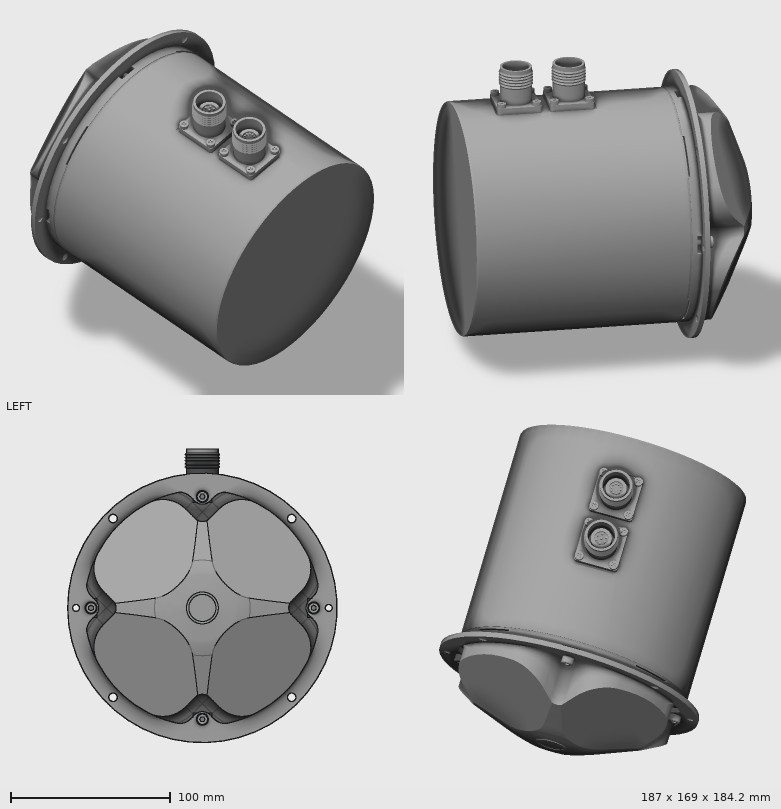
import cadquery as cq
import math

OVERALL_LENGTH = 187.0
OVERALL_HEIGHT = 184.2
FLANGE_DIAMETER = 169.0
BODY_RADIUS = 74.0
DIAGONALS = (45, 135, 225, 315)
QUARTERS = (0, 90, 180, 270)
SIDES = (0, 180)

FLANGE_FRONT = 40.0
FLANGE_REAR = 43.2
FLANGE_HOLE_CIRCLE = 79.2
LARGE_HOLE_DIAMETER = 5.2
SMALL_HOLE_DIAMETER = 4.2
TONGUE_APEX = 62.2
TONGUE_TIP_RADIUS = 6.8
TONGUE_CORNER_RADIUS = 9.3

FACET_TILT = 30.0
FACET_APEX = -10.6
SPINE_ANGLE = 20.0
SPINE_INNER_RADIUS = 30.0
SPINE_INNER_X = 3.9
NOSE_RADIUS = 10.0
NOSE_RECESS_RADIUS = 8.5
NOSE_RECESS_DEPTH = 0.3
SHOULDER_X = FLANGE_REAR
HEAD_CORNER_RADIUS = 20.2
NOTCH_RADIUS = 6.0
NOTCH_APEX = 51.6
HEAD_FILLET = NOTCH_RADIUS - 0.02
RUNOUT = 20.0

CLAMP_SCREW_CIRCLE = 69.8
CLAMP_HEAD_DIAMETER = 7.5
CLAMP_HEAD_CHAMFER = 0.5
CLAMP_HEAD_FRONT = 35.6
CLAMP_SOCKET_CORNERS = 3.46
CLAMP_SOCKET_DEPTH = 2.0
CLAMP_SHANK_DIAMETER = 4.0
CLAMP_POCKET_WIDTH = 12.0
CLAMP_POCKET_LENGTH = 3.0
CLAMP_POCKET_FLOOR = 66.0

SEAM_X = 49.5
SEAM_WIDTH = 1.3
SEAM_DEPTH = 0.4
SEAM_POCKET_FRONT = 48.4
SEAM_POCKET_WIDTH = 28.0
SEAM_POCKET_FLOOR = 70.0
REAR_CHAMFER_LENGTH = 1.1
REAR_CHAMFER_DEPTH = 0.3

FRONT_CONNECTOR_X = 114.4
REAR_CONNECTOR_X = 148.1
SEAT_START = 98.8
SEAT_END = 163.2
PLATE_SIZE = 28.0
PLATE_CORNER = 1.7
PLATE_TOP = 77.0
CONNECTOR_TOP = OVERALL_HEIGHT - FLANGE_DIAMETER / 2
BARREL_DIAMETER = 20.2
THREAD_DIAMETER = 21.5
THREAD_BOTTOM = 87.5
THREAD_TOP = 97.1
THREAD_TURNS = 5
BORE_RADIUS = 8.6
BORE_FLOOR = 80.0
INSERT_TOP = 92.2
INSERT_RADIUS = 6.6
INSERT_CUP_RADIUS = 4.5
INSERT_CUP_DEPTH = 1.5
CONTACT_CIRCLE = 3.1
LARGE_CONTACT_DIAMETER = 1.3
SMALL_CONTACT_DIAMETER = 1.1
SIX_CONTACTS = range(0, 360, 60)
TEN_CONTACTS = range(18, 378, 36)
PLATE_SCREW_PITCH = 22.5
PLATE_SCREW_HEAD = 5.45
PLATE_SCREW_TOP = 79.6
CROSS_LENGTH = 3.24
CROSS_ANGLES = (45, 135)
CROSS_WIDTH = 0.8
CROSS_DEPTH = 1.0

SEAT_Z = math.sqrt(BODY_RADIUS**2 - (PLATE_SIZE / 2) ** 2)


def disc(radius, start, end):
    """Cylinder on the X axis."""
    return cq.Workplane("YZ", origin=(start, 0, 0)).circle(radius).extrude(end - start)


def rod(radius, start, end, circle_radius, angle):
    """Cylinder parallel to X, placed on a circle around the axis."""
    y = circle_radius * math.cos(math.radians(angle))
    z = circle_radius * math.sin(math.radians(angle))
    return disc(radius, start, end).translate((0, y, z))


def post(radius, bottom, top, x, y=0.0):
    """Vertical cylinder."""
    return cq.Workplane("XY", origin=(x, y, bottom)).circle(radius).extrude(top - bottom)


def block(x0, x1, width, z0, z1):
    """Box centred on Y = 0."""
    return cq.Workplane("XY").box(x1 - x0, width, z1 - z0, centered=False).translate((x0, -width / 2, z0))


def around_axis(solid, angle):
    """Turn a solid about the X axis."""
    return solid.rotate((0, 0, 0), (1, 0, 0), angle)


def notch_prism(apex, root_radius, corner_radius, start, end):
    """Prism open toward +Z: rounded V, 45 degree walls and corner arcs that blend into the body circle."""
    centre_distance = BODY_RADIUS - corner_radius
    offset = apex - corner_radius * math.sqrt(2)
    centre_y = (math.sqrt(2 * centre_distance**2 - offset**2) - offset) / 2
    centre_z = centre_y + offset
    end_angle = math.atan2(centre_z, centre_y)
    wall_angle = math.radians(135)

    def on_corner(angle):
        y = centre_y + corner_radius * math.cos(angle)
        z = centre_z + corner_radius * math.sin(angle)
        return (y, z)

    def mirrored(point):
        return (-point[0], point[1])

    root_centre = apex + root_radius * math.sqrt(2)
    root_reach = root_radius * math.sqrt(0.5)
    root = (0, root_centre - root_radius)
    wall_start = (root_reach, root_centre - root_reach)
    wall_end = on_corner(wall_angle)
    corner_mid = on_corner((wall_angle + end_angle) / 2)
    corner_end = on_corner(end_angle)
    tangent_end = (
        corner_end[0] + RUNOUT * math.sin(end_angle),
        corner_end[1] - RUNOUT * math.cos(end_angle),
    )
    outside = (tangent_end[0], BODY_RADIUS + RUNOUT)

    return (
        cq.Workplane("YZ", origin=(start, 0, 0))
        .moveTo(*mirrored(wall_start))
        .threePointArc(root, wall_start)
        .lineTo(*wall_end)
        .threePointArc(corner_mid, corner_end)
        .lineTo(*tangent_end)
        .lineTo(*outside)
        .lineTo(*mirrored(outside))
        .lineTo(*mirrored(tangent_end))
        .lineTo(*mirrored(corner_end))
        .threePointArc(mirrored(corner_mid), mirrored(wall_end))
        .close()
        .extrude(end - start)
    )


def notch_void():
    """Space removed at the +Z notch of the head, with a filleted floor."""
    void = notch_prism(NOTCH_APEX, NOTCH_RADIUS, HEAD_CORNER_RADIUS, -RUNOUT, SHOULDER_X)
    wall_floor = cq.selectors.BoxSelector(
        (SHOULDER_X - 1, -BODY_RADIUS, 0),
        (SHOULDER_X + 1, BODY_RADIUS, BODY_RADIUS),
    )
    foot_edges = void.faces(">X").edges(wall_floor)
    return foot_edges.fillet(HEAD_FILLET)


def nose_envelope():
    """Solid of revolution: nose button with a shallow recess, blend arc and spine cone."""
    slope = math.radians(SPINE_ANGLE)
    blend_radius = (SPINE_INNER_RADIUS - NOSE_RADIUS) / math.sin(slope)
    blend_start_x = SPINE_INNER_X - blend_radius * (1 - math.cos(slope))
    blend_mid = (
        blend_start_x + blend_radius * (1 - math.cos(slope / 2)),
        NOSE_RADIUS + blend_radius * math.sin(slope / 2),
    )
    outer_radius = BODY_RADIUS + 1
    outer_x = SPINE_INNER_X + (outer_radius - SPINE_INNER_RADIUS) * math.tan(slope)
    envelope = (
        cq.Workplane("XY")
        .moveTo(0, 0)
        .lineTo(0, NOSE_RADIUS)
        .lineTo(blend_start_x, NOSE_RADIUS)
        .threePointArc(blend_mid, (SPINE_INNER_X, SPINE_INNER_RADIUS))
        .lineTo(outer_x, outer_radius)
        .lineTo(SEAM_X, outer_radius)
        .lineTo(SEAM_X, 0)
        .close()
        .revolve(360, (0, 0, 0), (1, 0, 0))
    )
    return envelope.cut(disc(NOSE_RECESS_RADIUS, 0, NOSE_RECESS_DEPTH))


def facet_cutter():
    """Wedge that removes everything in front of the facet facing +Z."""
    reach = 2 * BODY_RADIUS
    rise = reach * math.tan(math.radians(FACET_TILT))
    return (
        cq.Workplane("XZ")
        .moveTo(FACET_APEX, 0)
        .lineTo(FACET_APEX + rise, reach)
        .lineTo(FACET_APEX - reach, reach)
        .lineTo(FACET_APEX - reach, 0)
        .close()
        .extrude(reach, both=True)
    )


def head():
    solid = disc(BODY_RADIUS, 0, SEAM_X).intersect(nose_envelope())
    void = notch_void()
    wedge = facet_cutter()
    for angle in DIAGONALS:
        solid = solid.cut(around_axis(wedge, angle))
    for angle in QUARTERS:
        solid = solid.cut(around_axis(void, angle))
    return solid


def flange():
    ring = disc(FLANGE_DIAMETER / 2, FLANGE_FRONT, FLANGE_REAR)
    ring = ring.cut(disc(BODY_RADIUS, FLANGE_FRONT, FLANGE_REAR))
    for angle in DIAGONALS:
        ring = ring.cut(rod(LARGE_HOLE_DIAMETER / 2, FLANGE_FRONT, FLANGE_REAR, FLANGE_HOLE_CIRCLE, angle))
    for angle in SIDES:
        ring = ring.cut(rod(SMALL_HOLE_DIAMETER / 2, FLANGE_FRONT, FLANGE_REAR, FLANGE_HOLE_CIRCLE, angle))
    tongue = notch_prism(TONGUE_APEX, TONGUE_TIP_RADIUS, TONGUE_CORNER_RADIUS, FLANGE_FRONT, FLANGE_REAR)
    tongue = tongue.intersect(disc(BODY_RADIUS, FLANGE_FRONT, FLANGE_REAR))
    for angle in QUARTERS:
        ring = ring.union(around_axis(tongue, angle))
    return ring


def tube():
    """Rear housing with the seam groove, a softened rear edge and the connector seat."""
    solid = disc(BODY_RADIUS, SEAM_X, OVERALL_LENGTH)
    solid = solid.faces(">X").edges().chamfer(REAR_CHAMFER_LENGTH, REAR_CHAMFER_DEPTH)
    groove = disc(BODY_RADIUS, SEAM_X, SEAM_X + SEAM_WIDTH)
    groove = groove.cut(disc(BODY_RADIUS - SEAM_DEPTH, SEAM_X, SEAM_X + SEAM_WIDTH))
    seat = block(SEAT_START, SEAT_END, PLATE_SIZE, SEAT_Z, BODY_RADIUS)
    return solid.cut(groove).cut(seat)


def seam_pockets(solid):
    pocket = block(SEAM_POCKET_FRONT, SEAM_X, SEAM_POCKET_WIDTH, SEAM_POCKET_FLOOR, BODY_RADIUS)
    for angle in DIAGONALS:
        solid = solid.cut(around_axis(pocket, angle))
    return solid


def clamp_screws(solid):
    """Socket head screws on the flange tongues; their shanks show in pockets behind the flange."""
    pocket_end = FLANGE_REAR + CLAMP_POCKET_LENGTH
    pocket = block(FLANGE_REAR, pocket_end, CLAMP_POCKET_WIDTH, CLAMP_POCKET_FLOOR, BODY_RADIUS)
    socket = (
        cq.Workplane("YZ", origin=(CLAMP_HEAD_FRONT, 0, CLAMP_SCREW_CIRCLE))
        .polygon(6, CLAMP_SOCKET_CORNERS)
        .extrude(CLAMP_SOCKET_DEPTH)
    )
    screw = rod(CLAMP_HEAD_DIAMETER / 2, CLAMP_HEAD_FRONT, FLANGE_FRONT, CLAMP_SCREW_CIRCLE, 90)
    screw = screw.faces("<X").edges().chamfer(CLAMP_HEAD_CHAMFER).cut(socket)
    shank = rod(CLAMP_SHANK_DIAMETER / 2, SHOULDER_X, pocket_end, CLAMP_SCREW_CIRCLE, 90)
    for angle in QUARTERS:
        solid = solid.cut(around_axis(pocket, angle))
        solid = solid.union(around_axis(screw, angle))
        solid = solid.union(around_axis(shank, angle))
    return solid


def threaded_barrel(x):
    """Hollow barrel with V-shaped thread ridges."""
    root = BARREL_DIAMETER / 2
    crest = THREAD_DIAMETER / 2
    pitch = (THREAD_TOP - THREAD_BOTTOM) / THREAD_TURNS
    profile = cq.Workplane("XZ").moveTo(0, SEAT_Z).lineTo(root, SEAT_Z).lineTo(root, THREAD_BOTTOM)
    for turn in range(THREAD_TURNS):
        ridge_bottom = THREAD_BOTTOM + turn * pitch
        profile = profile.lineTo(crest, ridge_bottom + pitch / 2)
        profile = profile.lineTo(root, ridge_bottom + pitch)
    profile = profile.lineTo(root, CONNECTOR_TOP).lineTo(BORE_RADIUS, CONNECTOR_TOP)
    profile = profile.lineTo(BORE_RADIUS, BORE_FLOOR).lineTo(0, BORE_FLOOR).close()
    return profile.revolve(360, (0, 0, 0), (0, 1, 0)).translate((x, 0, 0))


def contact_insert(x, contact_angles, contact_diameter, has_centre_contact):
    """Insulator with a shallow cup and a ring of contact pins."""
    cup_floor = INSERT_TOP - INSERT_CUP_DEPTH
    insert = post(INSERT_RADIUS, BORE_FLOOR, INSERT_TOP, x)
    insert = insert.cut(post(INSERT_CUP_RADIUS, cup_floor, INSERT_TOP, x))
    for angle in contact_angles:
        pin_x = x + CONTACT_CIRCLE * math.cos(math.radians(angle))
        pin_y = CONTACT_CIRCLE * math.sin(math.radians(angle))
        insert = insert.union(post(contact_diameter / 2, cup_floor, INSERT_TOP, pin_x, pin_y))
    if has_centre_contact:
        insert = insert.union(post(contact_diameter / 2, cup_floor, INSERT_TOP, x))
    return insert


def plate_screw():
    """Low round head with a cross recess, centred on the Z axis."""
    screw = post(PLATE_SCREW_HEAD / 2, SEAT_Z, PLATE_SCREW_TOP, 0)
    recess_floor = PLATE_SCREW_TOP - CROSS_DEPTH
    bar = block(-CROSS_LENGTH / 2, CROSS_LENGTH / 2, CROSS_WIDTH, recess_floor, PLATE_SCREW_TOP)
    for angle in CROSS_ANGLES:
        screw = screw.cut(bar.rotate((0, 0, 0), (0, 0, 1), angle))
    return screw


def connector(x, contact_angles, contact_diameter, has_centre_contact):
    half = PLATE_SIZE / 2
    plate = block(x - half, x + half, PLATE_SIZE, SEAT_Z, PLATE_TOP).edges("|Z").fillet(PLATE_CORNER)
    solid = plate.union(threaded_barrel(x))
    solid = solid.union(contact_insert(x, contact_angles, contact_diameter, has_centre_contact))
    screw = plate_screw()
    reach = PLATE_SCREW_PITCH / 2
    for side_x in (-reach, reach):
        for side_y in (-reach, reach):
            solid = solid.union(screw.translate((x + side_x, side_y, 0)))
    return solid


result = head().union(tube()).union(flange())
result = seam_pockets(result)
result = clamp_screws(result)
result = result.union(connector(FRONT_CONNECTOR_X, SIX_CONTACTS, LARGE_CONTACT_DIAMETER, True))
result = result.union(connector(REAR_CONNECTOR_X, TEN_CONTACTS, SMALL_CONTACT_DIAMETER, False))